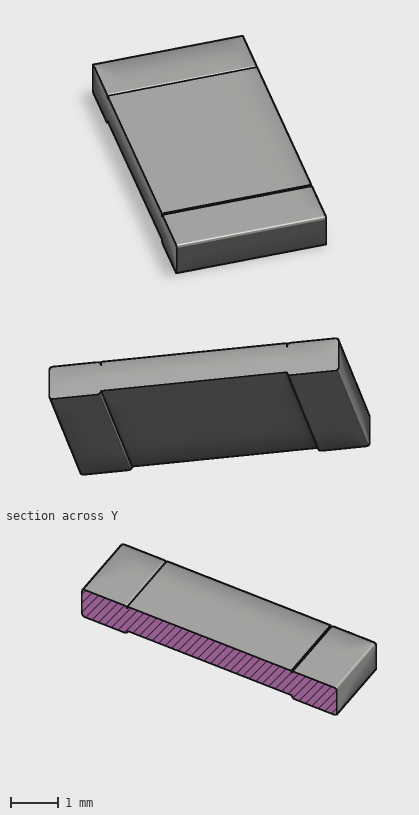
import cadquery as cq

LENGTH = 6.25
WIDTH = 3.3
HEIGHT = 0.79

LAYER = 0.08

TERMINAL_LENGTH = 1.12

CORE_LENGTH = LENGTH - 2 * LAYER
CORE_HEIGHT = HEIGHT - 2 * LAYER

COATING_LENGTH = LENGTH - 2 * TERMINAL_LENGTH


def bar(length, height, x_center, z_bottom):
    """Full-width block, centred in Y."""
    block = cq.Workplane("XY").box(length, WIDTH, height, centered=(True, True, False))
    return block.translate((x_center, 0, z_bottom))


def terminal(side):
    """End cap with its four long edges rounded, at the -X end (side -1) or the +X end (side +1)."""
    x_center = side * (LENGTH - TERMINAL_LENGTH) / 2
    cap = bar(TERMINAL_LENGTH, HEIGHT, x_center, 0)
    return cap.edges("|Y").fillet(LAYER)


core = bar(CORE_LENGTH, CORE_HEIGHT, 0, LAYER)
coating = bar(COATING_LENGTH, LAYER, 0, HEIGHT - LAYER)

result = core.union(coating, clean=False)
for side in (-1, 1):
    result = result.union(terminal(side).cut(core), clean=False)